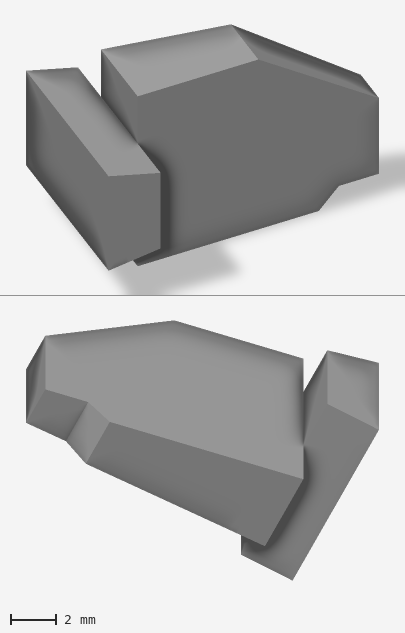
import cadquery as cq

total_length = 14.5
height = 9.0
plate_width = 9.0

plate_thickness = 2.5
plate_front_height = 5.0
plate_back_height = 4.0

body_front_width = 4.0
body_tip_width = 2.0
top_slope_length = 6.0
top_slope_drop = 4.0
tip_step_length = 2.0
tip_step_height = 1.0
step_chamfer = 1.0

body_front = plate_thickness
tip = total_length
top = height / 2
bottom = -height / 2


def make_plate():
    """Plate whose height shrinks towards the body."""
    return (
        cq.Workplane("YZ")
        .polyline([
            (0, -plate_front_height / 2),
            (plate_thickness, -plate_back_height / 2),
            (plate_thickness, plate_back_height / 2),
            (0, plate_front_height / 2),
        ])
        .close()
        .extrude(plate_width / 2, both=True)
    )


def make_body():
    """Side profile of the body, trimmed to a width that tapers to the tip."""
    step_z = bottom + tip_step_height
    step_y = tip - tip_step_length
    side_profile = (
        cq.Workplane("YZ")
        .polyline([
            (body_front, bottom),
            (step_y - step_chamfer, bottom),
            (step_y, step_z),
            (tip, step_z),
            (tip, top - top_slope_drop),
            (tip - top_slope_length, top),
            (body_front, top),
        ])
        .close()
        .extrude(body_front_width / 2, both=True)
    )
    tapered_plan = (
        cq.Workplane("XY")
        .polyline([
            (-body_front_width / 2, body_front),
            (body_front_width / 2, body_front),
            (body_tip_width / 2, tip),
            (-body_tip_width / 2, tip),
        ])
        .close()
        .extrude(height / 2, both=True)
    )
    return side_profile.intersect(tapered_plan)


result = make_plate().union(make_body())